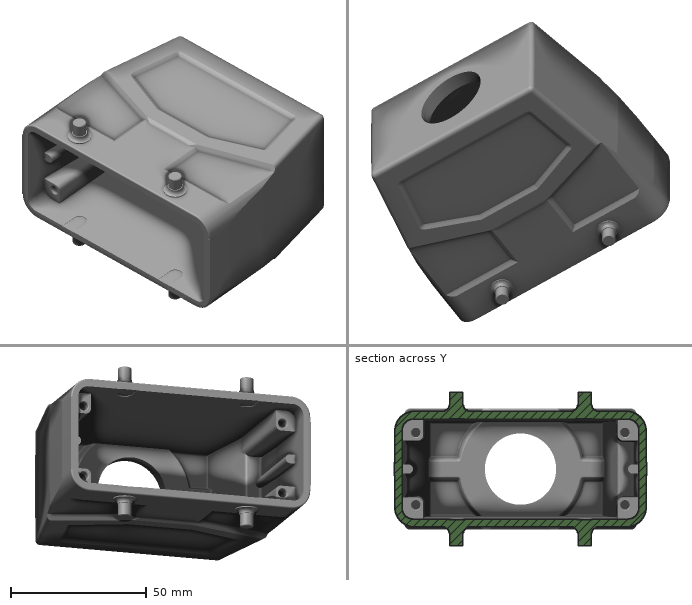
import cadquery as cq
import math

LENGTH = 76.0
WIDTH = 93.5
BASE_HEIGHT = 43.0
BASE_CORNER_RADIUS = 7.5
BASE_REACH = 42.0
SIDE_DRAFT = 0.5
RIM_ROUNDING = 0.6

STRAIGHT_LENGTH = 10.7
SLOPE_START = 31.7
SLOPE_START_HALF_WIDTH = 44.75
SIDE_SLOPE = 0.195
END_HALF_WIDTH = SLOPE_START_HALF_WIDTH - SIDE_SLOPE * (LENGTH - SLOPE_START)

BLOCK_HEIGHT = 44.8
BLOCK_ROUNDING = 1.8
SHALLOW_TAPER = 60.0
SHALLOW_RUN = math.tan(math.radians(SHALLOW_TAPER))
STEP_Y = 31.0
STEP_KNEE_X = 12.2
STEP_ANGLE = 18.8
STEEP_RUN = 0.77

PAD_DEPTH = 1.1
PAD_INNER_X = 12.2
PAD_BOTTOM_Y = 13.0

PANEL_DEPTH = 1.0
PANEL_TOP_Y = 68.0
PANEL_SIDE_Y = 45.4
PANEL_BOTTOM_Y = 36.9
PANEL_SIDE_HALF = 33.9
PANEL_BOTTOM_HALF = 12.5
PANEL_TOP_HALF = PANEL_SIDE_HALF - SIDE_SLOPE * (PANEL_TOP_Y - PANEL_SIDE_Y)
PANEL_CORNER_RADIUS = 2.0

CAVITY_WIDTH = 87.6
CAVITY_HEIGHT = 37.0
CAVITY_CORNER_RADIUS = 4.0
CAVITY_DEPTH = 73.5
CAVITY_DRAFT = 0.9
CAVITY_STRAIGHT = 8.8
CAVITY_LEAN = 0.093
CAVITY_FLOOR_ROUNDING = 0.7
LEDGE_ROUNDING = 1.2
LEDGE_Y = 45.0
LEDGE_INNER_X = 36.0
LEDGE_OUTER_X = 42.0

HOLE_DIAMETER = 26.4
FLOOR_PAD_HEIGHT = 3.0
FLOOR_PAD_RADIUS = 22.6
FLOOR_RIB_HALF = 3.1
FLOOR_PAD_DRAFT = 25.0
FLOOR_PAD_ROUNDING = 0.6
FLOOR_CORNER_RADIUS = 1.0

BOSS_FRONT_Y = 9.0
BOSS_INNER_X = 36.0
BOSS_INNER_Z = 10.6
BOSS_CORNER_RADIUS = 2.0
SCREW_X = 38.7
SCREW_Z = 13.4
SCREW_DIAMETER = 3.2
SCREW_DEPTH = 15.0
SCREW_CHAMFER = 0.3
GUIDE_X = 41.5
GUIDE_RADIUS = 1.7

PIN_X = 23.75
PIN_Y = 6.3
PIN_RADIUS = 2.5
PIN_TIP_Z = 28.5
PIN_CHAMFER = 0.3
PIN_ROOT_DEPTH = 1.0
PIN_FOOT_RADIUS = 4.3
PIN_FOOT_HEIGHT = 0.4
PIN_COLLAR_RADIUS = 2.8
PIN_COLLAR_TOP = 2.2
PIN_FILLET_RADIUS = PIN_FOOT_RADIUS - PIN_COLLAR_RADIUS
SLOT_WIDTH = 5.6
SLOT_DEPTH = 0.1

BASE_Z = BASE_HEIGHT / 2
BLOCK_Z = BLOCK_HEIGHT / 2
PAD_Z = BASE_Z - PAD_DEPTH
BEYOND = 20.0


def along_y(start_y):
    """Workplane facing +Y with local axes (X, -Z)."""
    return cq.Workplane("XZ", origin=(0, start_y, 0)).transformed(rotate=(180, 0, 0))


def both_halves(solid):
    """A solid together with its copy mirrored to -Z."""
    return solid.union(solid.mirror("XY"))


def mirrored_outline(right_side):
    """Closed outline symmetric about X = 0 from its right-hand points."""
    left_side = [(-x, y) for x, y in reversed(right_side)]
    return right_side + left_side


def side_plan(half_height):
    """Plan shape of the side walls, drafted both ways from the parting plane."""
    outline = mirrored_outline([
        (WIDTH / 2, -BEYOND),
        (WIDTH / 2, STRAIGHT_LENGTH),
        (SLOPE_START_HALF_WIDTH, SLOPE_START),
        (END_HALF_WIDTH - SIDE_SLOPE * BEYOND, LENGTH + BEYOND),
    ])
    return both_halves(cq.Workplane("XY").polyline(outline).close().extrude(half_height, taper=SIDE_DRAFT))


def base_body():
    """Rounded sleeve around the open rim."""
    top_half_width = WIDTH / 2 - BASE_Z * math.tan(math.radians(SIDE_DRAFT))
    profile = mirrored_outline([
        (top_half_width, -BASE_Z),
        (WIDTH / 2, 0),
        (top_half_width, BASE_Z),
    ])
    sleeve = (
        along_y(0)
        .polyline(profile)
        .close()
        .extrude(BASE_REACH)
        .edges("|Y and (<Z or >Z)")
        .fillet(BASE_CORNER_RADIUS)
        .faces("<Y")
        .edges()
        .fillet(RIM_ROUNDING)
    )
    return sleeve.intersect(side_plan(BLOCK_HEIGHT))


def step_cutter(run, lowest_z, angle):
    """Wedge clearing everything in front of one stretch of the step (upper half)."""
    top_z = BLOCK_Z + 1
    profile = [
        (run, top_z),
        (-run * (BLOCK_Z - lowest_z), lowest_z),
        (-LENGTH, lowest_z),
        (-LENGTH, top_z),
    ]
    wedge = cq.Workplane("YZ").polyline(profile).close().extrude(WIDTH, both=True)
    knee = (STEP_KNEE_X if angle > 0 else -STEP_KNEE_X, STEP_Y, 0)
    return wedge.rotate((0, 0, 0), (0, 0, 1), angle).translate(knee)


def is_block_corner(edge):
    """True for the outer edges behind the slope start, leaving out the parting line."""
    middle = edge.Center()
    return middle.y > SLOPE_START and abs(middle.z) > BLOCK_Z / 4


def upper_block():
    """Thicker closed end of the hood, cut back in front to the stepped edge."""
    slab = along_y(0).rect(WIDTH, BLOCK_HEIGHT).extrude(LENGTH)
    block = slab.intersect(side_plan(BLOCK_HEIGHT))
    block = block.newObject([edge for edge in block.edges().vals() if is_block_corner(edge)])
    block = block.fillet(BLOCK_ROUNDING)
    cutters = step_cutter(SHALLOW_RUN, BASE_Z, 0)
    for angle in (STEP_ANGLE, -STEP_ANGLE):
        cutters = cutters.union(step_cutter(STEEP_RUN, BASE_Z - BASE_CORNER_RADIUS, angle))
    return block.cut(both_halves(cutters))


def pad_outline(z):
    """Pad recess section at one level: walls spread outwards as Z rises."""
    run = SHALLOW_RUN * (z - BASE_Z)
    inner_x = PAD_INNER_X - run
    bottom_y = PAD_BOTTOM_Y - run
    slope = math.tan(math.radians(STEP_ANGLE))
    step_drop = STEEP_RUN * (BLOCK_Z - z) / math.cos(math.radians(STEP_ANGLE))

    def step_y(x):
        return STEP_Y + slope * (x - STEP_KNEE_X) - step_drop

    outer_x = WIDTH / 2 + BEYOND
    return [
        (inner_x, bottom_y),
        (outer_x, bottom_y),
        (outer_x, step_y(outer_x)),
        (inner_x, step_y(inner_x)),
    ]


def pad_recess():
    """Cutters for the four recessed side pads."""
    right = (
        cq.Workplane("XY", origin=(0, 0, PAD_Z))
        .polyline(pad_outline(PAD_Z))
        .close()
        .workplane(offset=PAD_DEPTH)
        .polyline(pad_outline(BASE_Z))
        .close()
        .loft(ruled=True)
    )
    return both_halves(right.union(right.mirror("YZ")))


def label_panel():
    """Cutters for the shallow panels with gently sloped walls."""
    outline = mirrored_outline([
        (PANEL_BOTTOM_HALF, PANEL_BOTTOM_Y),
        (PANEL_SIDE_HALF, PANEL_SIDE_Y),
        (PANEL_TOP_HALF, PANEL_TOP_Y),
    ])
    panel = (
        cq.Workplane("XY", origin=(0, 0, BLOCK_Z))
        .polyline(outline)
        .close()
        .extrude(PANEL_DEPTH)
        .edges("|Z")
        .edges("not <Y")
        .fillet(PANEL_CORNER_RADIUS)
        .faces("<Z")
        .wires()
        .toPending()
        .extrude(-PANEL_DEPTH, taper=SHALLOW_TAPER, combine=False)
    )
    return both_halves(panel)


def floor_pad():
    """Drafted disc with a rib across it, standing on the cavity floor."""
    spread = FLOOR_PAD_HEIGHT * math.tan(math.radians(FLOOR_PAD_DRAFT))
    top_y = CAVITY_DEPTH - FLOOR_PAD_HEIGHT
    disc = along_y(top_y).circle(FLOOR_PAD_RADIUS).workplane(offset=FLOOR_PAD_HEIGHT)
    disc = disc.circle(FLOOR_PAD_RADIUS + spread).loft()
    rib_profile = mirrored_outline([
        (FLOOR_RIB_HALF, top_y),
        (FLOOR_RIB_HALF + spread, CAVITY_DEPTH),
    ])
    rib = (
        cq.Workplane("ZY")
        .polyline(rib_profile)
        .close()
        .extrude(WIDTH, both=True)
    )
    pad = disc.union(rib)
    inner_corners = cq.selectors.BoxSelector(
        (-FLOOR_PAD_RADIUS - spread, top_y + spread / 4, -BOSS_INNER_Z),
        (FLOOR_PAD_RADIUS + spread, CAVITY_DEPTH - spread / 4, BOSS_INNER_Z),
    )
    pad = pad.edges(inner_corners).fillet(FLOOR_CORNER_RADIUS)
    return pad.faces("<Y").edges().fillet(FLOOR_PAD_ROUNDING)


def corner_boss(x_side, z_side):
    """Screw boss filling one corner of the cavity."""
    outer_x = WIDTH / 2
    outer_z = BASE_Z
    size_x = outer_x - BOSS_INNER_X
    size_z = outer_z - BOSS_INNER_Z
    return (
        along_y(BOSS_FRONT_Y)
        .center(x_side * (outer_x + BOSS_INNER_X) / 2, -z_side * (outer_z + BOSS_INNER_Z) / 2)
        .sketch()
        .rect(size_x, size_z)
        .vertices()
        .fillet(BOSS_CORNER_RADIUS)
        .finalize()
        .extrude(CAVITY_DEPTH - BOSS_FRONT_Y, taper=-CAVITY_DRAFT)
    )


def guide_rib(x_side):
    """Round-nosed rib in the middle of a side wall."""
    start = along_y(BOSS_FRONT_Y)
    nose = start.center(x_side * GUIDE_X, 0).circle(GUIDE_RADIUS).extrude(LEDGE_Y)
    root = start.center(x_side * (GUIDE_X + GUIDE_RADIUS), 0).rect(2 * GUIDE_RADIUS, 2 * GUIDE_RADIUS)
    return nose.union(root.extrude(LEDGE_Y))


def cavity():
    """Inner space of the hood, less the bosses, ribs and floor pad."""
    sleeve = (
        along_y(0)
        .sketch()
        .rect(CAVITY_WIDTH, CAVITY_HEIGHT)
        .vertices()
        .fillet(CAVITY_CORNER_RADIUS)
        .finalize()
        .extrude(CAVITY_DEPTH, taper=CAVITY_DRAFT)
    )
    half = CAVITY_WIDTH / 2
    bend_x = half - CAVITY_LEAN * (SLOPE_START - CAVITY_STRAIGHT)
    plan = [
        (-half, 0),
        (half, 0),
        (half, LEDGE_Y - (half - LEDGE_OUTER_X) / CAVITY_LEAN),
        (LEDGE_OUTER_X, LEDGE_Y),
        (LEDGE_INNER_X, LEDGE_Y),
        (LEDGE_INNER_X - SIDE_SLOPE * (CAVITY_DEPTH - LEDGE_Y), CAVITY_DEPTH),
        (-bend_x + SIDE_SLOPE * (CAVITY_DEPTH - SLOPE_START), CAVITY_DEPTH),
        (-bend_x, SLOPE_START),
        (-half, CAVITY_STRAIGHT),
    ]
    ledge_edges = cq.selectors.BoxSelector(
        (LEDGE_INNER_X - 1, LEDGE_Y - 1, -BASE_Z),
        (half, LEDGE_Y + 1, BASE_Z),
    )
    bounds = cq.Workplane("XY").polyline(plan).close().extrude(BASE_Z, both=True)
    space = sleeve.intersect(bounds.edges("|Z").edges(ledge_edges).fillet(LEDGE_ROUNDING))
    space = space.cut(floor_pad())
    for x_side in (1, -1):
        space = space.cut(guide_rib(x_side))
        for z_side in (1, -1):
            space = space.cut(corner_boss(x_side, z_side))
    space = space.faces(">Y").edges().fillet(CAVITY_FLOOR_ROUNDING)
    pad_top_y = CAVITY_DEPTH - FLOOR_PAD_HEIGHT
    rib_ends = [
        edge
        for edge in space.edges("|Z").vals()
        if abs(edge.Center().y - pad_top_y) < FLOOR_PAD_ROUNDING and abs(edge.Center().z) < FLOOR_RIB_HALF
    ]
    return space.newObject(rib_ends).fillet(CAVITY_FLOOR_ROUNDING)


def screw_holes():
    """Blind holes with chamfered mouths in the corner bosses."""
    radius = SCREW_DIAMETER / 2
    mouth = radius + SCREW_CHAMFER
    inward = cq.Vector(0, 1, 0)
    points = [(x, z) for x in (-SCREW_X, SCREW_X) for z in (-SCREW_Z, SCREW_Z)]
    holes = along_y(BOSS_FRONT_Y).pushPoints(points).circle(radius).extrude(SCREW_DEPTH)
    for x, z in points:
        centre = cq.Vector(x, BOSS_FRONT_Y, z)
        chamfer = cq.Solid.makeCone(mouth, radius, SCREW_CHAMFER, centre, inward)
        holes = holes.union(cq.Workplane(chamfer))
    return holes


def locking_pin(x):
    """Pair of opposite pins, each on a filleted foot and a short collar."""
    foot_top_z = BASE_Z + PIN_FOOT_HEIGHT
    arc_offset = PIN_FILLET_RADIUS * math.sqrt(0.5)
    arc_middle = (PIN_FOOT_RADIUS - arc_offset, foot_top_z + PIN_FILLET_RADIUS - arc_offset)
    collar_top_z = BASE_Z + PIN_COLLAR_TOP
    pin = (
        cq.Workplane("XZ")
        .moveTo(0, BASE_Z - PIN_ROOT_DEPTH)
        .lineTo(PIN_FOOT_RADIUS, BASE_Z - PIN_ROOT_DEPTH)
        .lineTo(PIN_FOOT_RADIUS, foot_top_z)
        .threePointArc(arc_middle, (PIN_COLLAR_RADIUS, foot_top_z + PIN_FILLET_RADIUS))
        .lineTo(PIN_COLLAR_RADIUS, collar_top_z)
        .lineTo(PIN_RADIUS, collar_top_z)
        .lineTo(PIN_RADIUS, PIN_TIP_Z - PIN_CHAMFER)
        .lineTo(PIN_RADIUS - PIN_CHAMFER, PIN_TIP_Z)
        .lineTo(0, PIN_TIP_Z)
        .close()
        .revolve(360, (0, 0, 0), (0, 1, 0))
    )
    return both_halves(pin.translate((x, PIN_Y, 0)))


def pin_slot(x):
    """Shallow round-ended groove in the cavity wall behind a pin."""
    level = CAVITY_HEIGHT / 2 + SLOT_DEPTH
    groove = cq.Workplane("XY").rect(SLOT_WIDTH, 2 * PIN_Y).extrude(level)
    groove = groove.union(cq.Workplane("XY").center(0, PIN_Y).circle(SLOT_WIDTH / 2).extrude(level))
    return both_halves(groove.translate((x, 0, 0)))


def hood():
    body = base_body().union(upper_block())
    body = body.cut(pad_recess()).cut(label_panel())
    for x in (-PIN_X, PIN_X):
        body = body.union(locking_pin(x))
    body = body.cut(cavity()).cut(screw_holes())
    for x in (-PIN_X, PIN_X):
        body = body.cut(pin_slot(x))
    return body.cut(along_y(0).circle(HOLE_DIAMETER / 2).extrude(LENGTH + BEYOND))


result = hood()